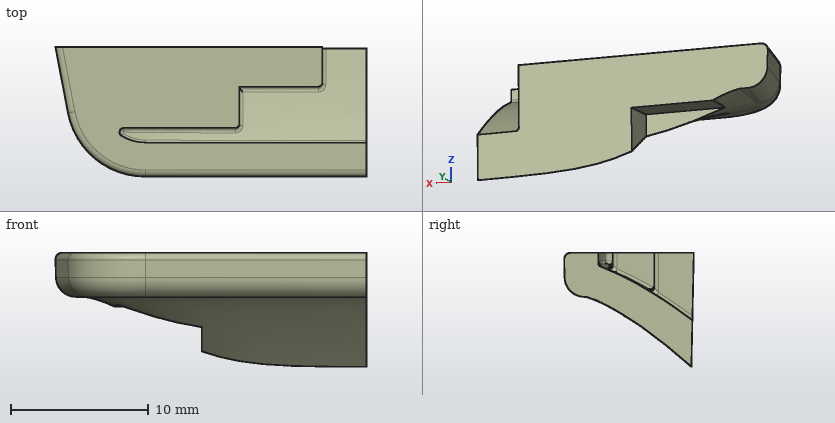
import math

import cadquery as cq

length = 22.67
width = 9.46
height = 8.32

side_lean = math.radians(10.8)
corner_radius = 5.75
corner_y = corner_radius - width
corner_x = (corner_radius - corner_y * math.sin(side_lean)) / math.cos(side_lean)

rim_height = 3.23
draft = 1.2
draft_slope = math.tan(math.radians(draft))
top_fillet = 0.5
bottom_fillet = 1.47
margin = 3.0

bulge_edge_depth = 3.15
bulge_fillet_overlap = 0.3
bulge_inset = bottom_fillet + rim_height * draft_slope - bulge_fillet_overlap
bulge_reach = width - bulge_inset
bulge_front_power = 1.38
lowest_y = -height * draft_slope
bulge_depth = (height - bulge_edge_depth) / (1 + lowest_y / bulge_reach) ** bulge_front_power

fade_power_back = 2.0
fade_power_rate = 0.14
fade_power_least = 1.2
fade_length_back = 7.7
fade_length_rate = 0.45
fade_length_least = 5.0

surface_overshoot = 0.8
grid_steps = 14
spline_tolerance = 0.01

floor_edge_depth = 0.65
floor_depth = 4.35
floor_front_power = 1.42
floor_fillet = 0.25
wall_fillet = 0.3
pocket_rim = 2.5
pocket_steps = [(19.44, 2.89), (13.4, 5.9)]

notch_end = 10.66
notch_depth = 3.05
notch_wall_draft = 0.1
ceiling_back = 3.93
ceiling_front = 3.78


def left_edge(y, inset):
    """x of the outline's left side at y, moved inwards by inset."""
    radius = corner_radius - inset
    if y > corner_y - radius * math.sin(side_lean):
        return (inset - y * math.sin(side_lean)) / math.cos(side_lean)
    return corner_x - math.sqrt(max(radius**2 - (y - corner_y) ** 2, 0))


def outline_arc(sketch, inset, start_angle):
    """Continue a sketch round the inset corner to the front; start_angle turns from +Y towards -X."""
    radius = corner_radius - inset
    middle = (math.pi + start_angle) / 2
    return sketch.threePointArc(
        (corner_x - radius * math.sin(middle), corner_y + radius * math.cos(middle)),
        (corner_x, corner_y - radius),
    )


def make_rim():
    """Drafted slab running past the back and right faces, with rounded top and bottom edges."""
    tangent_y = corner_y - corner_radius * math.sin(side_lean)
    right = length + margin
    sketch = cq.Workplane("XY").moveTo(left_edge(margin, 0), margin)
    sketch = sketch.lineTo(left_edge(tangent_y, 0), tangent_y)
    sketch = outline_arc(sketch, 0, math.pi / 2 + side_lean)
    sketch = sketch.lineTo(right, -width).lineTo(right, margin).close()
    slab = sketch.extrude(-rim_height, taper=draft)
    return slab.faces("<Z").edges().fillet(bottom_fillet).faces(">Z").edges().fillet(top_fillet)


def bulge_drop(x, y, full_depth, front_power):
    """Drop of a bulged surface below its edge: fades out towards the front and the left side."""
    depth = full_depth * max(1 + y / bulge_reach, 0) ** front_power
    power = max(fade_power_back + fade_power_rate * y, fade_power_least)
    fade_length = max(fade_length_back + fade_length_rate * y, fade_length_least)
    distance = max(x - left_edge(y, bulge_inset), 0)
    return depth * (1 - math.exp(-((distance / fade_length) ** power)))


def bulge_face(edge_depth, full_depth, front_power):
    """Bulged surface bounded by the inset outline, with grid rows crowded towards the front."""
    rows = []
    for i in range(grid_steps + 1):
        y = surface_overshoot - (bulge_reach + surface_overshoot) * math.sin(math.pi / 2 * i / grid_steps)
        start = left_edge(y, bulge_inset)
        row = []
        for j in range(grid_steps + 1):
            x = start + (length + surface_overshoot - start) * j / grid_steps
            z = -edge_depth - bulge_drop(x, y, full_depth, front_power)
            row.append(cq.Vector(x, y, z))
        rows.append(row)
    return cq.Face.makeSplineApprox(rows, tol=spline_tolerance, minDeg=3, maxDeg=6)


def prism_above(face):
    """Solid swept straight up from a face to well above the part."""
    return cq.Workplane(cq.Solid.extrudeLinear(face, cq.Vector(0, 0, 2 * height)))


def make_bulge():
    """Solid between the bulged underside and a plane inside the rim slab."""
    face = bulge_face(bulge_edge_depth, bulge_depth, bulge_front_power)
    top = -rim_height + bottom_fillet / 2
    below = cq.Workplane("XY").box(3 * length, 3 * length, height, centered=(True, True, False))
    return prism_above(face).intersect(below.translate((0, 0, top - height)))


def make_pocket():
    """Stepped cutter with a rounded left tip, open at the back and right."""
    back = surface_overshoot / 2
    right = length + surface_overshoot / 2
    sketch = cq.Workplane("XY").moveTo(right, back)
    wall_y = back
    rounded_corners = []
    for wall_x, next_wall in pocket_steps:
        sketch = sketch.lineTo(wall_x, wall_y).lineTo(wall_x, -next_wall)
        wall_y = -next_wall
        rounded_corners.append((wall_x, wall_y))
    tip = (left_edge(wall_y, pocket_rim), wall_y)
    rounded_corners.append(tip)
    sketch = outline_arc(sketch.lineTo(*tip), pocket_rim, math.atan2(corner_x - tip[0], wall_y - corner_y))
    prism = sketch.lineTo(right, corner_y - corner_radius + pocket_rim).close().extrude(2 * height, both=True)
    for corner in rounded_corners:
        prism = prism.edges(cq.selectors.NearestToPointSelector((*corner, 0))).fillet(wall_fillet)
    floor = bulge_face(floor_edge_depth, floor_depth, floor_front_power)
    pocket = prism.intersect(prism_above(floor))
    return pocket.faces("<Z").edges().fillet(floor_fillet)


def make_notch():
    """Cutter with a gently sloping ceiling, removing the bulge left of a flat cross wall."""
    return (
        cq.Workplane("YZ")
        .moveTo(margin, -ceiling_back)
        .lineTo(0, -ceiling_back)
        .lineTo(-notch_depth, -ceiling_front)
        .lineTo(-notch_depth - notch_wall_draft, -2 * height)
        .lineTo(margin, -2 * height)
        .close()
        .extrude(notch_end)
    )


def make_envelope():
    """Block with the flat right end and the drafted back face."""
    return (
        cq.Workplane("YZ")
        .moveTo(0, 0)
        .lineTo(2 * lowest_y, -2 * height)
        .lineTo(-2 * width, -2 * height)
        .lineTo(-2 * width, 0)
        .close()
        .extrude(length + margin)
        .translate((-margin, 0, 0))
    )


result = make_rim().union(make_bulge()).cut(make_notch())
result = result.cut(make_pocket()).intersect(make_envelope())